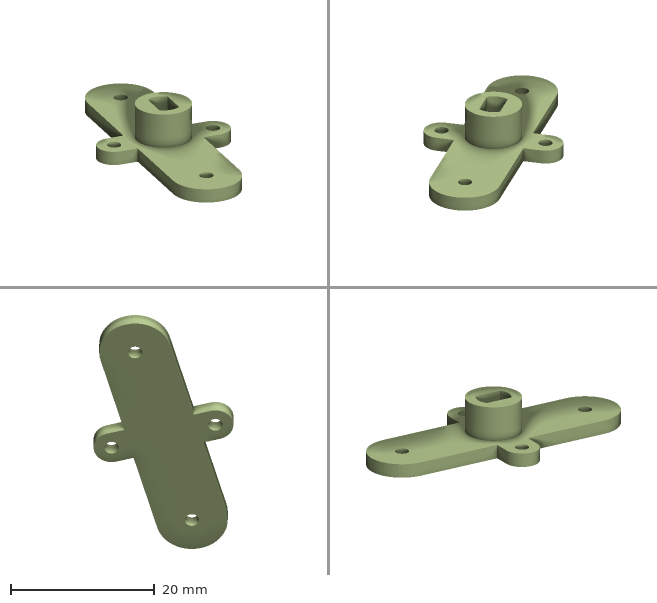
import cadquery as cq

bar_length = 40.0
bar_width = 10.0
tab_span = 20.0
tab_width = 5.0
plate_thickness = 2.0

hole_diameter = 2.0
bar_hole_x = (bar_length - bar_width) / 2
tab_hole_y = (tab_span - tab_width) / 2

total_height = 7.0
hub_diameter = 8.0
socket_diameter = 5.0
socket_across_flats = 3.0
socket_depth = total_height - plate_thickness


def make_plate():
    bar = cq.Workplane("XY").slot2D(bar_length, bar_width).extrude(plate_thickness)
    tabs = cq.Workplane("XY").slot2D(tab_span, tab_width, 90).extrude(plate_thickness)
    return bar.union(tabs)


def make_hub():
    return cq.Workplane("XY").circle(hub_diameter / 2).extrude(total_height)


def make_mounting_holes():
    centers = [(bar_hole_x, 0), (-bar_hole_x, 0), (0, tab_hole_y), (0, -tab_hole_y)]
    return cq.Workplane("XY").pushPoints(centers).circle(hole_diameter / 2).extrude(plate_thickness)


def make_socket():
    floor = cq.Workplane("XY").workplane(offset=total_height - socket_depth)
    round_bore = floor.circle(socket_diameter / 2).extrude(socket_depth)
    flats = floor.rect(socket_diameter, socket_across_flats).extrude(socket_depth)
    return round_bore.intersect(flats)


result = make_plate().union(make_hub()).cut(make_mounting_holes()).cut(make_socket())